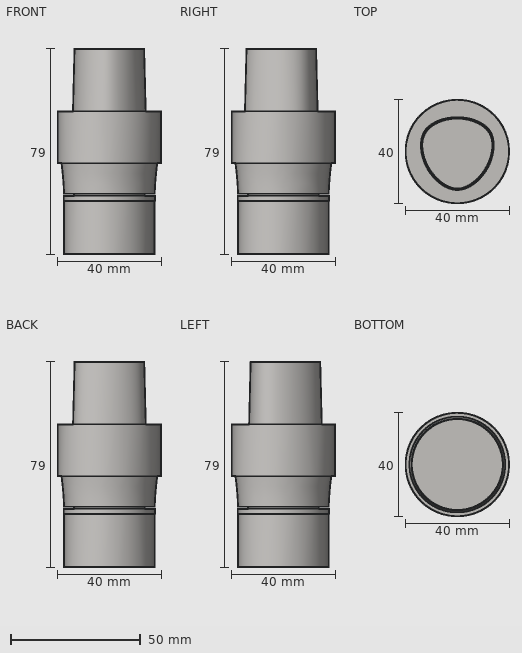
import cadquery as cq
import math

total_height = 79.0
flange_top = 55.0
flange_bottom = 35.0
groove_top = 23.15
groove_bottom = 22.4
collar_bottom = 20.5
collar_chamfer = 0.15

flange_diameter = 40.0
neck_top_diameter = 37.0
neck_middle_diameter = 35.7
neck_bottom_diameter = 35.0
collar_diameter = 35.3
body_diameter = 35.0
groove_diameter = 27.4

shank_base_width = 28.1
shank_taper = 1 / 20
lobe_height = 0.8


def make_round_body():
    """Revolve the body, collar, groove, curved neck and flange about Z."""
    neck_middle_height = (flange_bottom + groove_top) / 2
    return (
        cq.Workplane("XZ")
        .moveTo(0, 0)
        .lineTo(body_diameter / 2, 0)
        .lineTo(body_diameter / 2, collar_bottom - collar_chamfer)
        .lineTo(collar_diameter / 2, collar_bottom)
        .lineTo(collar_diameter / 2, groove_bottom)
        .lineTo(groove_diameter / 2, groove_bottom)
        .lineTo(groove_diameter / 2, groove_top)
        .lineTo(neck_bottom_diameter / 2, groove_top)
        .threePointArc(
            (neck_middle_diameter / 2, neck_middle_height),
            (neck_top_diameter / 2, flange_bottom),
        )
        .lineTo(flange_diameter / 2, flange_bottom)
        .lineTo(flange_diameter / 2, flange_top)
        .lineTo(0, flange_top)
        .close()
        .revolve(360, (0, 0, 0), (0, 1, 0))
    )


def lobed_wire(width, height):
    """Constant-width closed curve with three lobes, one of them pointing to -Y."""

    def point(turn):
        angle = 2 * math.pi * turn
        reach = width / 2 + lobe_height * math.sin(3 * angle)
        slope = 3 * lobe_height * math.cos(3 * angle)
        x = reach * math.cos(angle) - slope * math.sin(angle)
        y = reach * math.sin(angle) + slope * math.cos(angle)
        return x, y, height

    curve_steps = 60
    points = [cq.Vector(*point(i / curve_steps)) for i in range(curve_steps)]
    return cq.Wire.assembleEdges([cq.Edge.makeSpline(points, periodic=True)])


def make_shank():
    """Loft the lobed shank, narrowing evenly toward its top."""
    shank_top_width = shank_base_width - shank_taper * (total_height - flange_top)
    base = lobed_wire(shank_base_width, flange_top)
    top = lobed_wire(shank_top_width, total_height)
    return cq.Workplane(obj=cq.Solid.makeLoft([base, top], True))


result = make_round_body().union(make_shank())